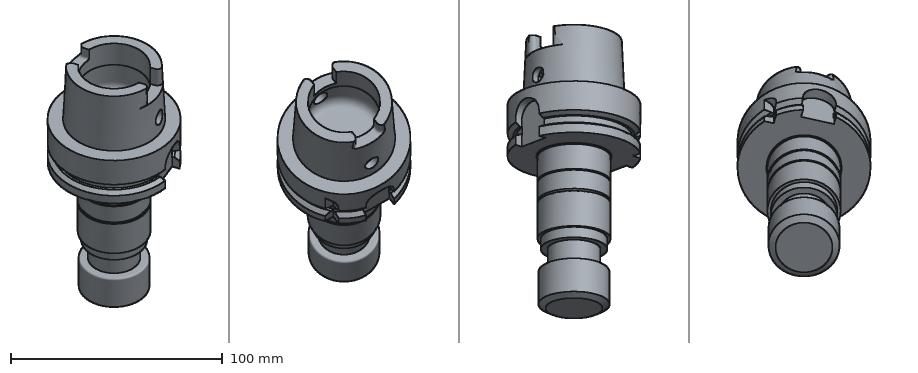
import cadquery as cq
import math


TAPER_HEIGHT = 32.0
TAPER_BASE_RADIUS = 48.4 / 2
TAPER_TOP_RADIUS = 45.4 / 2
BORE_RADIUS = 34.05 / 2
CHAMBER_TOP_DEPTH = 13.0
CHAMBER_RADIUS = 40.08 / 2
CHAMBER_FLOOR_RADIUS = 31.5 / 2
CHAMBER_DEPTH = 30.3
CROSS_HOLE_DIAMETER = 7.5
CROSS_HOLE_Z = 8.9

NOTCH_WIDTH = 12.54
NOTCH_CORNER_RADIUS = 2.5
NOTCH_CORNER_X = 21.0
NOTCH_FLANK_LENGTH = 5.0
SHALLOW_NOTCH_DEPTH = 6.2
SHALLOW_NOTCH_FILLET = 1.4
DEEP_NOTCH_DEPTH = 10.0

FLANGE_RADIUS = 62.94 / 2
FLANGE_THICKNESS = 26.0
GROOVE_CENTER_Z = -18.0
GROOVE_WIDTH = 3.75
GROOVE_FLOOR_RADIUS = 55.1 / 2
GROOVE_CHAMFER_HEIGHT = 1.5
GROOVE_CHAMFER_ANGLE = 30.0

KEYWAY_WIDTH = 16.0
ARCH_TOP_Z = -5.0
KEYWAY_FLOOR_X = 26.5
ORIENTATION_FLOOR_X = 20.0
ORIENTATION_INNER_Y = 19.7
ORIENTATION_RADIUS = 7.5

SHANK_RADIUS = 34.6 / 2
SHANK_BOTTOM_Z = -67.9
NECK_FLARE = 0.5
FINE_GROOVE_Z = -39.2
FINE_GROOVE_WIDTH = 0.5
FINE_GROOVE_RADIUS = 33.7 / 2
SEAT_GROOVE_TOP_Z = -49.0
SEAT_GROOVE_BOTTOM_Z = -50.1
SEAT_GROOVE_RADIUS = 32.5 / 2
COLLAR_RADIUS = 31.5 / 2
COLLAR_BOTTOM_Z = -73.1
STEM_RADIUS = 25.0 / 2

NUT_RADIUS = 33.7 / 2
NUT_TOP_Z = -83.9
NUT_TOP_FILLET = 0.9
NUT_BOTTOM_Z = -103.0
NUT_BOTTOM_CHAMFER_WIDTH = 3.4
NUT_BOTTOM_CHAMFER_HEIGHT = 2.0


def make_body():
    """Revolve the outside profile, listed from the top down."""
    groove_top = GROOVE_CENTER_Z + GROOVE_WIDTH / 2
    groove_bottom = GROOVE_CENTER_Z - GROOVE_WIDTH / 2
    chamfer_width = GROOVE_CHAMFER_HEIGHT / math.tan(math.radians(GROOVE_CHAMFER_ANGLE))
    groove_mouth_radius = FLANGE_RADIUS - chamfer_width
    seat_depth = SHANK_RADIUS - SEAT_GROOVE_RADIUS
    profile = [
        (0, TAPER_HEIGHT),
        (TAPER_TOP_RADIUS, TAPER_HEIGHT),
        (TAPER_BASE_RADIUS, 0),
        (FLANGE_RADIUS, 0),
        (FLANGE_RADIUS, groove_top + GROOVE_CHAMFER_HEIGHT),
        (groove_mouth_radius, groove_top),
        (GROOVE_FLOOR_RADIUS, groove_top),
        (GROOVE_FLOOR_RADIUS, groove_bottom),
        (groove_mouth_radius, groove_bottom),
        (FLANGE_RADIUS, groove_bottom - GROOVE_CHAMFER_HEIGHT),
        (FLANGE_RADIUS, -FLANGE_THICKNESS),
        (SHANK_RADIUS + NECK_FLARE, -FLANGE_THICKNESS),
        (SHANK_RADIUS, -FLANGE_THICKNESS - NECK_FLARE),
        (SHANK_RADIUS, FINE_GROOVE_Z + FINE_GROOVE_WIDTH / 2),
        (FINE_GROOVE_RADIUS, FINE_GROOVE_Z + FINE_GROOVE_WIDTH / 2),
        (FINE_GROOVE_RADIUS, FINE_GROOVE_Z - FINE_GROOVE_WIDTH / 2),
        (SHANK_RADIUS, FINE_GROOVE_Z - FINE_GROOVE_WIDTH / 2),
        (SHANK_RADIUS, SEAT_GROOVE_TOP_Z),
        (SEAT_GROOVE_RADIUS, SEAT_GROOVE_TOP_Z - seat_depth),
        (SEAT_GROOVE_RADIUS, SEAT_GROOVE_BOTTOM_Z),
        (SHANK_RADIUS, SEAT_GROOVE_BOTTOM_Z),
        (SHANK_RADIUS, SHANK_BOTTOM_Z),
        (COLLAR_RADIUS, SHANK_BOTTOM_Z),
        (COLLAR_RADIUS, COLLAR_BOTTOM_Z),
        (STEM_RADIUS, COLLAR_BOTTOM_Z),
        (STEM_RADIUS, NUT_TOP_Z),
        (NUT_RADIUS, NUT_TOP_Z),
        (NUT_RADIUS, NUT_BOTTOM_Z + NUT_BOTTOM_CHAMFER_HEIGHT),
        (NUT_RADIUS - NUT_BOTTOM_CHAMFER_WIDTH, NUT_BOTTOM_Z),
        (0, NUT_BOTTOM_Z),
    ]
    body = cq.Workplane("XZ").polyline(profile).close().revolve(360, (0, 0), (0, 1))
    margin = NUT_TOP_FILLET / 2
    low = (-NUT_RADIUS, -NUT_RADIUS, NUT_TOP_Z - margin)
    high = (NUT_RADIUS, NUT_RADIUS, NUT_TOP_Z + margin)
    nut_rim = body.edges(cq.selectors.BoxSelector(low, high)).edges(cq.selectors.RadiusNthSelector(-1))
    return nut_rim.fillet(NUT_TOP_FILLET)


def make_bore():
    """Straight bore from the rim, opening into a wider chamber with a rounded floor edge."""
    chamber_top_z = TAPER_HEIGHT - CHAMBER_TOP_DEPTH
    floor_z = TAPER_HEIGHT - CHAMBER_DEPTH
    fillet = CHAMBER_RADIUS - CHAMBER_FLOOR_RADIUS
    arc_offset = fillet * math.sin(math.pi / 4)
    arc_middle = (CHAMBER_FLOOR_RADIUS + arc_offset, floor_z + fillet - arc_offset)
    return (
        cq.Workplane("XZ")
        .moveTo(0, TAPER_HEIGHT)
        .lineTo(BORE_RADIUS, TAPER_HEIGHT)
        .lineTo(BORE_RADIUS, chamber_top_z)
        .lineTo(CHAMBER_RADIUS, chamber_top_z)
        .lineTo(CHAMBER_RADIUS, floor_z + fillet)
        .threePointArc(arc_middle, (CHAMBER_FLOOR_RADIUS, floor_z))
        .lineTo(0, floor_z)
        .close()
        .revolve(360, (0, 0), (0, 1))
    )


def make_cross_hole():
    """Radial hole along X through both walls of the taper."""
    return (
        cq.Workplane("YZ")
        .center(0, CROSS_HOLE_Z)
        .circle(CROSS_HOLE_DIAMETER / 2)
        .extrude(FLANGE_RADIUS, both=True)
    )


def make_notch(depth):
    """Rim notch toward +X.

    Each side wall runs outward, turns around a rounded post corner and leaves
    along a tangent that is square to the radius through the corner centre.
    """
    half = NOTCH_WIDTH / 2
    r = NOTCH_CORNER_RADIUS
    center_x = NOTCH_CORNER_X - r
    center_y = half + r
    angle = math.atan2(center_y, center_x)
    turn_x = center_x + r * math.cos(angle)
    turn_y = center_y + r * math.sin(angle)
    flank_x = turn_x - NOTCH_FLANK_LENGTH * math.sin(angle)
    flank_y = turn_y + NOTCH_FLANK_LENGTH * math.cos(angle)
    return (
        cq.Workplane("XY")
        .workplane(offset=TAPER_HEIGHT - depth)
        .moveTo(0, -half)
        .lineTo(center_x, -half)
        .threePointArc((NOTCH_CORNER_X, -center_y), (turn_x, -turn_y))
        .lineTo(flank_x, -flank_y)
        .lineTo(FLANGE_RADIUS, -flank_y)
        .lineTo(FLANGE_RADIUS, flank_y)
        .lineTo(flank_x, flank_y)
        .lineTo(turn_x, turn_y)
        .threePointArc((NOTCH_CORNER_X, center_y), (center_x, half))
        .lineTo(0, half)
        .close()
        .extrude(depth)
    )


def make_shallow_notch():
    """Notch on the -X side, with fillets along the foot of its side walls."""
    notch = make_notch(SHALLOW_NOTCH_DEPTH)
    half = NOTCH_WIDTH / 2
    reach = half + NOTCH_CORNER_RADIUS
    low = (half, -reach, 0)
    high = (NOTCH_CORNER_X, reach, TAPER_HEIGHT)
    side_feet = notch.faces("<Z").edges(cq.selectors.BoxSelector(low, high))
    return side_feet.fillet(SHALLOW_NOTCH_FILLET).rotate((0, 0, 0), (0, 0, 1), 180)


def make_arched_cutter(floor_x, center_y, radius):
    """Cutter from x = floor_x away from the axis, square at the flange bottom and round on top."""
    center_z = ARCH_TOP_Z - radius
    return (
        cq.Workplane("YZ")
        .workplane(offset=floor_x)
        .moveTo(center_y - radius, -FLANGE_THICKNESS)
        .lineTo(center_y - radius, center_z)
        .threePointArc((center_y, ARCH_TOP_Z), (center_y + radius, center_z))
        .lineTo(center_y + radius, -FLANGE_THICKNESS)
        .close()
        .extrude(math.copysign(FLANGE_RADIUS, floor_x))
    )

def make_orientation_notch():
    """Arched notch toward the +Y edge of the flange, cut in from the -X side."""
    center_y = ORIENTATION_INNER_Y + ORIENTATION_RADIUS
    return make_arched_cutter(-ORIENTATION_FLOOR_X, center_y, ORIENTATION_RADIUS)


result = (
    make_body()
    .cut(make_bore())
    .cut(make_cross_hole())
    .cut(make_shallow_notch())
    .cut(make_notch(DEEP_NOTCH_DEPTH))
    .cut(make_arched_cutter(-KEYWAY_FLOOR_X, 0, KEYWAY_WIDTH / 2))
    .cut(make_arched_cutter(KEYWAY_FLOOR_X, 0, KEYWAY_WIDTH / 2))
    .cut(make_orientation_notch())
)